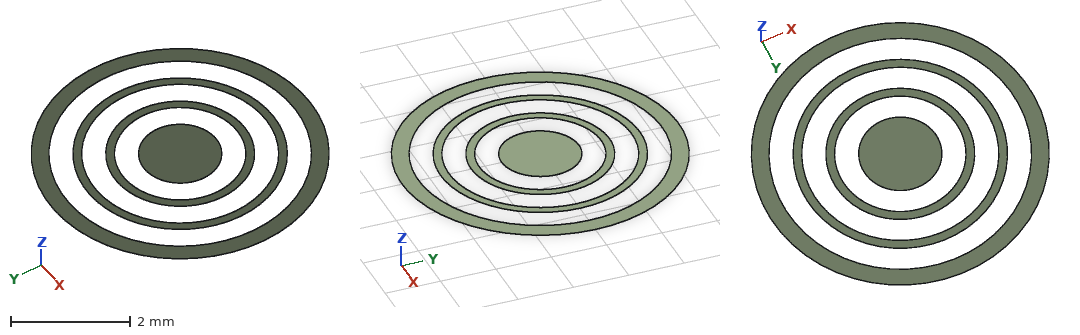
import cadquery as cq

thickness = 0.01
disc_radius = 0.7

outer_ring_radius = 2.5
outer_ring_width = 0.3

inner_ring_radii = [1.25, 1.8]
inner_ring_width = 0.15


def make_disc(radius):
    """Flat round disc resting on the XY plane."""
    return cq.Workplane("XY").circle(radius).extrude(thickness)


def make_ring(outer_radius, width):
    """Flat ring resting on the XY plane, its width measured inward."""
    return cq.Workplane("XY").circle(outer_radius).circle(outer_radius - width).extrude(thickness)


center_disc = make_disc(disc_radius)
narrow_rings = [make_ring(radius, inner_ring_width) for radius in inner_ring_radii]
outer_ring = make_ring(outer_ring_radius, outer_ring_width)

result = cq.Compound.makeCompound(
    [center_disc.val(), *[ring.val() for ring in narrow_rings], outer_ring.val()]
)